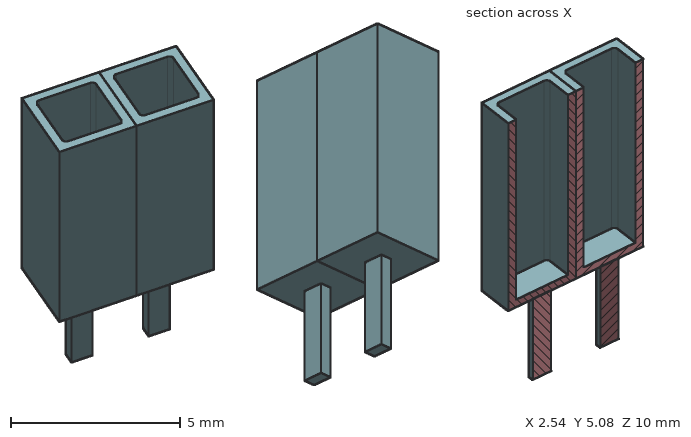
import cadquery as cq

total_height = 10.0
pitch = 2.54
socket_count = 2

housing_height = 7.0
wall = 0.3
floor_thickness = wall
cavity_corner_radius = 0.13
cavity_width = pitch - 2 * wall
cavity_depth = housing_height - floor_thickness

pin_thickness = 0.4
pin_width = 0.7
pin_length = total_height - housing_height


def make_housing(y_center):
    """Square housing with a round-cornered blind cavity open at the top."""
    block = cq.Workplane("XY").box(pitch, pitch, housing_height, centered=(True, True, False))
    cavity = (
        cq.Workplane("XY")
        .workplane(offset=floor_thickness)
        .rect(cavity_width, cavity_width)
        .extrude(cavity_depth)
        .edges("|Z")
        .fillet(cavity_corner_radius)
    )
    return block.cut(cavity).translate((0, y_center, 0))


def make_pin(y_center):
    """Flat rectangular pin hanging below the centre of a housing."""
    pin = cq.Workplane("XY").rect(pin_thickness, pin_width).extrude(-pin_length)
    return pin.translate((0, y_center, 0))


housings = []
pins = []
for index in range(socket_count):
    y_center = (index - (socket_count - 1) / 2) * pitch
    housings.append(make_housing(y_center).val())
    pins.append(make_pin(y_center).val())

result = cq.Compound.makeCompound([*housings, *pins])